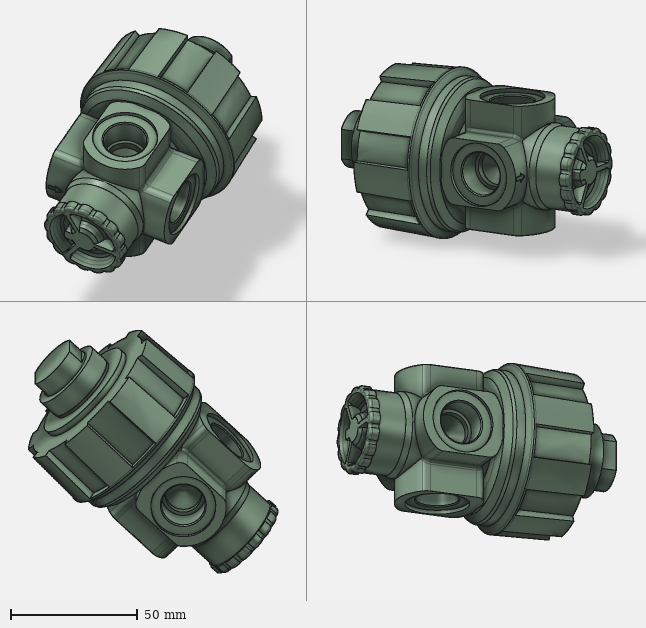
import cadquery as cq
import math


OVERALL_LENGTH = 108.94
CAP_FACE_Y = -36.04
KNURL_BACK_Y = -31.85
NECK_Y = -20.45
COLLAR_Y = -17.85
PLATE_Y = 16.4
BONNET_FACE_Y = 17.35
BONNET_CHAMFER_Y = 19.9
BONNET_EDGE_Y = 21.2
KNOB_FACE_Y = 25.0
KNOB_CHAMFER_Y = 26.8
KNOB_RIM_Y = 27.4
RECESS_START_Y = 28.2
KNOB_BACK_Y = 53.4
FLANGE_BACK_Y = 55.9
SLEEVE_GROOVE_Y = 57.1
SLEEVE_BACK_Y = 65.3
FLAT_START_Y = 66.2
SPINDLE_END_Y = CAP_FACE_Y + OVERALL_LENGTH

SELECTION_MARGIN = 0.1
CUT_CLEARANCE = 1.0

PORT_REACH = 26.45
PORT_HALF_WIDTH = 13.65
PORT_LOWER_RADIUS = 17.0
PORT_UPPER_RADIUS = 24.0
PORT_UPPER_CENTRE_Y = -6.2
PORT_LOWER_FILLET = 4.4
PORT_UPPER_FILLET = 4.1
PORT_CORNER_FILLET = 1.6
COLLAR_RADIUS = 17.5
NECK_RADIUS = 16.6
UPPER_COLLAR_RADIUS = 18.4
PLATE_RADIUS = 23.1
BONNET_FACE_RADIUS = 27.4
BONNET_CHAMFER_RADIUS = 30.5
BONNET_RADIUS = 31.1

SEAL_RADIUS = 12.85
SEAL_DEPTH = 1.6
BORE_MOUTH_RADIUS = 9.1
BORE_RADIUS = 8.6
BORE_DEPTH = 12.0
PILOT_RADIUS = 7.2
PILOT_DEPTH = 15.0
DRILL_POINT_ANGLE = 118.0

ARROW_TAIL_X = -25.6
ARROW_HEAD_X = -22.3
ARROW_TIP_X = -19.2
ARROW_SHAFT_HALF = 0.8
ARROW_HEAD_HALF = 1.85
ARROW_DEPTH = 0.3

KNOB_RADIUS = 34.31
KNOB_BACK_RADIUS = 33.3
KNOB_CHAMFER_RADIUS = 33.5
RECESS_RADIUS = 31.1
RECESS_BACK_RADIUS = 30.6
GRIP_COUNT = 8
GRIP_PITCH = 360.0 / GRIP_COUNT
RECESS_ANGLE = GRIP_PITCH / 2

FLANGE_RADIUS = 21.9
SLEEVE_RADIUS = 14.85
SLEEVE_GROOVE_RADIUS = 14.6
SPINDLE_RADIUS = 11.4
SPINDLE_FLAT_HALF = 9.7

KNURL_RADIUS = 17.65
KNURL_JOIN_RADIUS = 17.05
KNURL_VALLEY_RADIUS = 16.7
KNURL_COUNT = 16
KNURL_PITCH = 360.0 / KNURL_COUNT
LOBE_HALF_ANGLE = 8.4
KNURL_FILLET = 1.25
TROUGH_OUTER_RADII = [14.7, 13.9, 13.0, 12.3, 11.2]
TROUGH_INNER_RADII = [4.9, 6.3, 7.0, 7.5, 8.4]
TROUGH_DEPTHS = [0.0, 1.3, 2.8, 4.1, 5.0]
SPOKE_COUNT = 3
SPOKE_HALF_WIDTH = 1.0
SPOKE_FLARE_HALF = 2.2
SPOKE_FLARE_START = 13.2
SPOKE_REACH = 15.0
TAB_HALF_WIDTH = 2.1
TAB_REACH = 8.3
TAB_FILLET = 0.8


def turned(points, angle=360.0):
    """Solid of revolution about Y from an outline of (radius, y) points."""
    return cq.Workplane("XY").polyline(points).close().revolve(angle, (0, 0, 0), (0, 1, 0))


def polar(radius, angle):
    """Cartesian pair for a radius and an angle in degrees."""
    return (radius * math.cos(math.radians(angle)), radius * math.sin(math.radians(angle)))


def port_bar():
    """Bar along X carrying two opposite ports: two flats between a lower and an upper arc."""
    w = PORT_HALF_WIDTH
    lower_y = -math.sqrt(PORT_LOWER_RADIUS**2 - w**2)
    upper_y = PORT_UPPER_CENTRE_Y + math.sqrt(PORT_UPPER_RADIUS**2 - w**2)
    bar = (
        cq.Workplane("YZ")
        .moveTo(lower_y, -w)
        .lineTo(upper_y, -w)
        .threePointArc((PORT_UPPER_CENTRE_Y + PORT_UPPER_RADIUS, 0), (upper_y, w))
        .lineTo(lower_y, w)
        .threePointArc((-PORT_LOWER_RADIUS, 0), (lower_y, -w))
        .close()
        .extrude(PORT_REACH, both=True)
    )
    bar = bar.edges("|X").edges("<Y").fillet(PORT_LOWER_FILLET)
    return bar.edges("|X").edges(">Y").fillet(PORT_UPPER_FILLET)


def port_bore():
    """Cutter for the +X port: seal recess, chamfered bore and drilled pilot."""
    mouth_x = PORT_REACH - SEAL_DEPTH
    bore_x = mouth_x - (BORE_MOUTH_RADIUS - BORE_RADIUS)
    bore_end_x = PORT_REACH - BORE_DEPTH
    pilot_end_x = PORT_REACH - PILOT_DEPTH
    tip_x = pilot_end_x - PILOT_RADIUS / math.tan(math.radians(DRILL_POINT_ANGLE / 2))
    outline = [
        (PORT_REACH, 0),
        (PORT_REACH, SEAL_RADIUS),
        (mouth_x, SEAL_RADIUS),
        (mouth_x, BORE_MOUTH_RADIUS),
        (bore_x, BORE_RADIUS),
        (bore_end_x, BORE_RADIUS),
        (bore_end_x, PILOT_RADIUS),
        (pilot_end_x, PILOT_RADIUS),
        (tip_x, 0),
    ]
    return cq.Workplane("XY").polyline(outline).close().revolve(360, (0, 0, 0), (1, 0, 0))


def flow_arrow():
    """Cutter for the arrow that points along +X."""
    upper = [
        (ARROW_TAIL_X, ARROW_SHAFT_HALF),
        (ARROW_HEAD_X, ARROW_SHAFT_HALF),
        (ARROW_HEAD_X, ARROW_HEAD_HALF),
        (ARROW_TIP_X, 0),
    ]
    lower = [(x, -z) for x, z in reversed(upper[:-1])]
    floor_y = PORT_LOWER_RADIUS - ARROW_DEPTH
    return cq.Workplane("XZ").workplane(offset=floor_y).polyline(upper + lower).close().extrude(ARROW_DEPTH)


def make_housing():
    """Four-port body with the front collar and the bonnet that carries the knob."""
    ports = port_bar().union(port_bar().rotate((0, 0, 0), (0, 1, 0), 90))
    inner = PORT_HALF_WIDTH + SELECTION_MARGIN
    corner_box = cq.selectors.BoxSelector((-inner, -inner, -inner), (inner, inner, inner))
    ports = ports.edges("|Y").edges(corner_box).fillet(PORT_CORNER_FILLET)
    bonnet = turned([
        (0, PLATE_Y),
        (PLATE_RADIUS, PLATE_Y),
        (BONNET_FACE_RADIUS, BONNET_FACE_Y),
        (BONNET_CHAMFER_RADIUS, BONNET_CHAMFER_Y),
        (BONNET_RADIUS, BONNET_EDGE_Y),
        (BONNET_RADIUS, KNOB_FACE_Y),
        (0, KNOB_FACE_Y),
    ])
    collar = turned([
        (0, PLATE_Y),
        (UPPER_COLLAR_RADIUS, PLATE_Y),
        (UPPER_COLLAR_RADIUS, 0),
        (COLLAR_RADIUS, 0),
        (COLLAR_RADIUS, COLLAR_Y),
        (NECK_RADIUS, NECK_Y),
        (0, NECK_Y),
    ])
    housing = ports.union(collar).union(bonnet)
    for angle in (0, 90, 180, 270):
        housing = housing.cut(port_bore().rotate((0, 0, 0), (0, 1, 0), angle))
    return housing.cut(flow_arrow())


def make_knob():
    """Tapered hand knob with recesses that leave eight grip pads."""
    knob = turned([
        (0, KNOB_FACE_Y),
        (BONNET_RADIUS, KNOB_FACE_Y),
        (KNOB_CHAMFER_RADIUS, KNOB_CHAMFER_Y),
        (KNOB_RADIUS, KNOB_RIM_Y),
        (KNOB_RADIUS, RECESS_START_Y),
        (KNOB_BACK_RADIUS, KNOB_BACK_Y),
        (0, KNOB_BACK_Y),
    ])
    clear_radius = KNOB_RADIUS + CUT_CLEARANCE
    recess = turned(
        [
            (RECESS_RADIUS, RECESS_START_Y),
            (clear_radius, RECESS_START_Y),
            (clear_radius, KNOB_BACK_Y),
            (RECESS_BACK_RADIUS, KNOB_BACK_Y),
        ],
        RECESS_ANGLE,
    )
    for i in range(GRIP_COUNT):
        knob = knob.cut(recess.rotate((0, 0, 0), (0, 1, 0), i * GRIP_PITCH))
    return knob


def make_spindle():
    """Flange, sleeve and end spindle with two wrench flats."""
    spindle = turned([
        (0, KNOB_BACK_Y),
        (FLANGE_RADIUS, KNOB_BACK_Y),
        (FLANGE_RADIUS, FLANGE_BACK_Y),
        (SLEEVE_GROOVE_RADIUS, FLANGE_BACK_Y),
        (SLEEVE_GROOVE_RADIUS, SLEEVE_GROOVE_Y),
        (SLEEVE_RADIUS, SLEEVE_GROOVE_Y),
        (SLEEVE_RADIUS, SLEEVE_BACK_Y),
        (SPINDLE_RADIUS, SLEEVE_BACK_Y),
        (SPINDLE_RADIUS, SPINDLE_END_Y),
        (0, SPINDLE_END_Y),
    ])
    flat_length = SPINDLE_END_Y - FLAT_START_Y
    flat_depth = SPINDLE_RADIUS - SPINDLE_FLAT_HALF
    for side in (-1, 1):
        flat = cq.Workplane("XY").box(flat_depth, flat_length, 2 * SPINDLE_RADIUS)
        flat_x = side * (SPINDLE_FLAT_HALF + flat_depth / 2)
        spindle = spindle.cut(flat.translate((flat_x, FLAT_START_Y + flat_length / 2, 0)))
    return spindle


def knurled_rim():
    """Rim of rounded lobes joined by shallow round valleys, with its front edge rounded."""
    outline = cq.Workplane("XZ").workplane(offset=-KNURL_BACK_Y)
    outline = outline.moveTo(*polar(KNURL_JOIN_RADIUS, -LOBE_HALF_ANGLE))
    for i in range(KNURL_COUNT):
        lobe = i * KNURL_PITCH
        lobe_end = polar(KNURL_JOIN_RADIUS, lobe + LOBE_HALF_ANGLE)
        next_lobe = polar(KNURL_JOIN_RADIUS, lobe + KNURL_PITCH - LOBE_HALF_ANGLE)
        outline = outline.threePointArc(polar(KNURL_RADIUS, lobe), lobe_end)
        outline = outline.threePointArc(polar(KNURL_VALLEY_RADIUS, lobe + KNURL_PITCH / 2), next_lobe)
    rim = outline.close().extrude(KNURL_BACK_Y - CAP_FACE_Y)
    return rim.faces("<Y").edges().fillet(KNURL_FILLET)


def cap_trough():
    """Ring-shaped trough around the hub, interrupted by the spokes and the key tab."""
    outer_wall = [(r, CAP_FACE_Y + d) for r, d in zip(TROUGH_OUTER_RADII, TROUGH_DEPTHS)]
    hub_wall = [(r, CAP_FACE_Y + d) for r, d in zip(TROUGH_INNER_RADII, TROUGH_DEPTHS)]
    trough = turned(hub_wall + outer_wall[::-1])
    depth = TROUGH_DEPTHS[-1]
    face = cq.Workplane("XZ").workplane(offset=-CAP_FACE_Y)
    spoke = (
        face.moveTo(0, -SPOKE_HALF_WIDTH)
        .lineTo(SPOKE_FLARE_START, -SPOKE_HALF_WIDTH)
        .lineTo(SPOKE_REACH, -SPOKE_FLARE_HALF)
        .lineTo(SPOKE_REACH, SPOKE_FLARE_HALF)
        .lineTo(SPOKE_FLARE_START, SPOKE_HALF_WIDTH)
        .lineTo(0, SPOKE_HALF_WIDTH)
        .close()
        .extrude(-depth)
    )
    for i in range(SPOKE_COUNT):
        trough = trough.cut(spoke.rotate((0, 0, 0), (0, 1, 0), i * 360 / SPOKE_COUNT))
    tab = face.center(-TAB_REACH / 2, 0).rect(TAB_REACH, 2 * TAB_HALF_WIDTH).extrude(-depth)
    tab = tab.edges("|Y and <X").fillet(TAB_FILLET)
    return trough.cut(tab)


def make_cap():
    """Front plug: plain neck, knurled rim and spoked face."""
    neck = turned([(0, NECK_Y), (NECK_RADIUS, NECK_Y), (NECK_RADIUS, KNURL_BACK_Y), (0, KNURL_BACK_Y)])
    return neck.union(knurled_rim()).cut(cap_trough())


housing = make_housing()
knob = make_knob()
spindle = make_spindle()
cap = make_cap()

result = cq.Compound.makeCompound([housing.val(), knob.val(), spindle.val(), cap.val()])